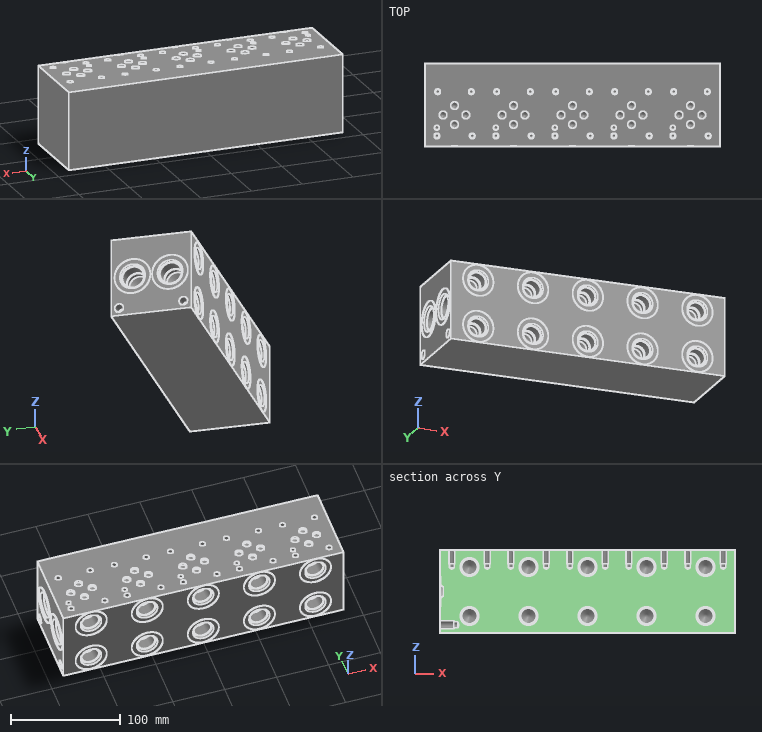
import cadquery as cq
import math

LENGTH = 270.0
WIDTH = 76.0
HEIGHT = 76.0

STATION_COUNT = 5
STATION_PITCH = LENGTH / STATION_COUNT
STATION_CENTRES = [STATION_PITCH * (i + 0.5) for i in range(STATION_COUNT)]

PAD_CENTRE_Y = 29.0
PAD_PORT_OFFSET_X = 10.4
PAD_PORT_OFFSET_Y = 8.6
PAD_PORT_DIAMETER = 7.0
PAD_PORT_DEPTH = 2.2

REAR_BOLT_OFFSET_X = 15.5
REAR_BOLT_Y = 50.2
FRONT_BOLT_OFFSET_X = 16.2
FRONT_BOLT_Y = 9.7
PAD_BOLT_DIAMETER = 4.0
PAD_BOLT_THREAD = 5.0
PAD_BOLT_THREAD_DEPTH = 12.7
PAD_BOLT_DEPTH = 16.2

PIN_Y = 17.3
PIN_DIAMETER = 4.3
PIN_DEPTH = 5.0

WORK_PORT_HEIGHTS = (15.7, 60.5)
WORK_PORT = dict(spotface=30.0, mouth=20.0, throat=18.0, thread=16.5, drill=14.3,
                 cone_depth=2.5, thread_depth=15.0, depth=21.5)

MAIN_PORT_HEIGHT = HEIGHT / 2
MAIN_PORT_OFFSET_Y = 17.8
MAIN_PORT = dict(spotface=34.0, mouth=24.0, throat=22.5, thread=20.5, drill=19.2,
                 cone_depth=2.5, thread_depth=17.0, depth=24.3)

SPOTFACE_DEPTH = 0.5

MOUNT_INSET = 7.5
MOUNT_DIAMETER = 6.5
MOUNT_THREAD = 8.0
MOUNT_THREAD_DEPTH = 12.7
MOUNT_DEPTH = 16.2

DRILL_POINT_ANGLE = 118.0


def point_length(diameter):
    """Length of the conical end left by a drill of this diameter."""
    return diameter / 2 / math.tan(math.radians(DRILL_POINT_ANGLE / 2))


def turned(profile):
    """Solid of revolution around Z from (radius, height) points that start and end on the axis."""
    return cq.Workplane("XZ").polyline(profile).close().revolve(360, (0, 0, 0), (0, 1, 0))


def drilled_hole(diameter, depth, thread=0, thread_depth=0):
    """Cutter pointing down from Z = 0, wider over the threaded length when a thread is given."""
    radius = diameter / 2
    profile = [(0, 0)]
    if thread:
        profile += [(thread / 2, 0), (thread / 2, -thread_depth), (radius, -thread_depth)]
    else:
        profile.append((radius, 0))
    profile += [(radius, -depth), (0, -depth - point_length(diameter))]
    return turned(profile)


def threaded_port(port):
    """Cutter for a spotfaced straight-thread port pointing down from Z = 0."""
    cone_end = -SPOTFACE_DEPTH - port["cone_depth"]
    return turned([
        (0, 0),
        (port["spotface"] / 2, 0),
        (port["spotface"] / 2, -SPOTFACE_DEPTH),
        (port["mouth"] / 2, -SPOTFACE_DEPTH),
        (port["throat"] / 2, cone_end),
        (port["thread"] / 2, cone_end),
        (port["thread"] / 2, -port["thread_depth"]),
        (port["drill"] / 2, -port["thread_depth"]),
        (port["drill"] / 2, -port["depth"]),
        (0, -port["depth"] - point_length(port["drill"])),
    ])


def placed(cutter, points):
    """Copies of a cutter moved to each point."""
    return [cutter.translate(point).val() for point in points]


def pad_cutters():
    """Valve ports, bolt holes and locating pin hole of every station, cut from the top."""
    ports, bolts, pins = [], [], []
    for x in STATION_CENTRES:
        for side in (-1, 1):
            ports.append((x + side * PAD_PORT_OFFSET_X, PAD_CENTRE_Y, HEIGHT))
            ports.append((x, PAD_CENTRE_Y + side * PAD_PORT_OFFSET_Y, HEIGHT))
            bolts.append((x + side * REAR_BOLT_OFFSET_X, REAR_BOLT_Y, HEIGHT))
            bolts.append((x + side * FRONT_BOLT_OFFSET_X, FRONT_BOLT_Y, HEIGHT))
        pins.append((x - FRONT_BOLT_OFFSET_X, PIN_Y, HEIGHT))
    return (
        placed(drilled_hole(PAD_PORT_DIAMETER, PAD_PORT_DEPTH), ports)
        + placed(drilled_hole(PAD_BOLT_DIAMETER, PAD_BOLT_DEPTH, PAD_BOLT_THREAD, PAD_BOLT_THREAD_DEPTH), bolts)
        + placed(drilled_hole(PIN_DIAMETER, PIN_DEPTH), pins)
    )


def work_port_cutters():
    """Two threaded ports per station, cut into the Y = 0 face."""
    cutter = threaded_port(WORK_PORT).rotate((0, 0, 0), (1, 0, 0), 90)
    return placed(cutter, [(x, 0, z) for x in STATION_CENTRES for z in WORK_PORT_HEIGHTS])


def end_cutters():
    """Main ports and mounting holes, cut into the X = 0 face."""
    def along_x(cutter):
        return cutter.rotate((0, 0, 0), (0, 1, 0), -90)

    main_port = along_x(threaded_port(MAIN_PORT))
    mount = along_x(drilled_hole(MOUNT_DIAMETER, MOUNT_DEPTH, MOUNT_THREAD, MOUNT_THREAD_DEPTH))
    main_points = [(0, WIDTH / 2 + side * MAIN_PORT_OFFSET_Y, MAIN_PORT_HEIGHT) for side in (-1, 1)]
    mount_points = [(0, y, MOUNT_INSET) for y in (MOUNT_INSET, WIDTH - MOUNT_INSET)]
    return placed(main_port, main_points) + placed(mount, mount_points)


block = cq.Workplane("XY").box(LENGTH, WIDTH, HEIGHT, centered=False)
cutters = pad_cutters() + work_port_cutters() + end_cutters()
result = cq.Workplane(block.val().cut(*cutters))